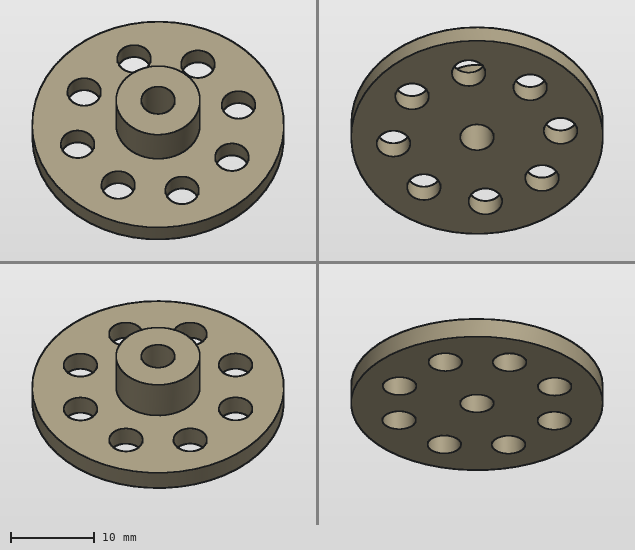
import cadquery as cq

flange_diameter = 30.0
total_height = 7.5
hub_diameter = flange_diameter / 3
flange_thickness = total_height / 3

hole_diameter = 4.0
hole_count = 8
hole_circle_radius = flange_diameter / 3


def make_body():
    """Round flange resting on Z = 0 with a central hub rising to full height."""
    flange = cq.Workplane("XY").circle(flange_diameter / 2).extrude(flange_thickness)
    hub = cq.Workplane("XY").circle(hub_diameter / 2).extrude(total_height)
    return flange.union(hub)


def make_hole_cutters():
    """Through cutters for the central bore and the ring of flange holes."""
    bore = cq.Workplane("XY").circle(hole_diameter / 2).extrude(total_height)
    ring = (
        cq.Workplane("XY")
        .polarArray(hole_circle_radius, 0, 360, hole_count)
        .circle(hole_diameter / 2)
        .extrude(flange_thickness)
    )
    return bore.union(ring)


result = make_body().cut(make_hole_cutters())